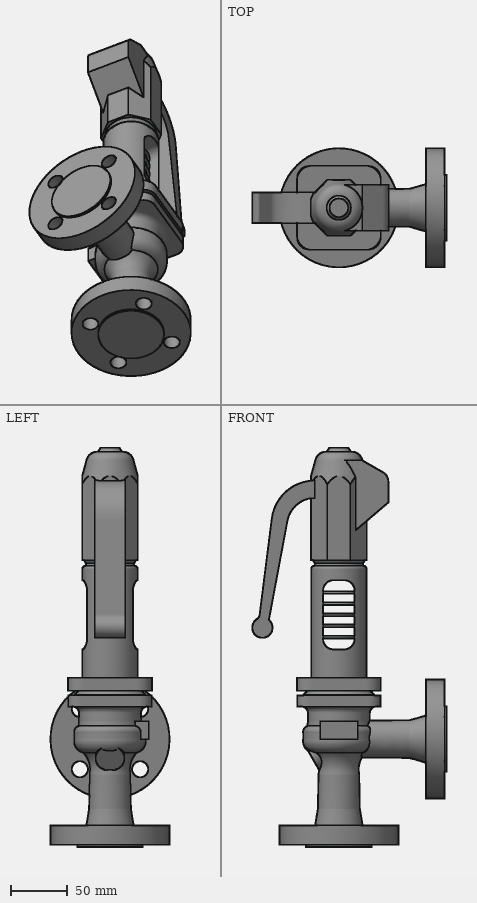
import cadquery as cq
import math


overall_height = 351.5
outlet_axis_z = 95.0
outlet_face_x = 95.0

flange_radius = 52.5
raised_face_radius = 29.0
raised_face_height = 2.0
inlet_flange_thickness = 17.0
outlet_flange_thickness = 16.5
bolt_circle_radius = 37.5
bolt_hole_diameter = 14.0
bolt_count = 4
first_bolt_angle = 45.0

inlet_hub_radius = 21.0
inlet_hub_top_z = 33.5
inlet_hub_top_radius = 18.6
inlet_pipe_radius = 18.0
inlet_pipe_top_z = 64.0
bowl_root_radius = 23.5
bowl_root_z = 83.0
bowl_radius = 31.5
bowl_bottom_z = 95.0
bowl_top_z = 100.3
shoulder_top_radius = 27.8
shoulder_top_z = 106.6
throat_radius = 27.4
throat_bottom_z = 110.3
throat_top_z = 118.2
throat_fillet_radius = 5.3

outlet_pipe_start_radius = 16.4
outlet_pipe_radius = 16.8
outlet_hub_start_x = 62.3
outlet_hub_radius = 20.9

lower_plate_width = 73.6
lower_plate_bottom_z = throat_top_z + throat_fillet_radius
lower_plate_top_z = 133.4
lower_plate_corner = 11.0
upper_plate_width = 74.0
upper_plate_bottom_z = 137.5
upper_plate_top_z = 149.1
upper_plate_corner = 13.3
collar_top_radius = 27.5
collar_bottom_radius = 31.2
collar_rim_height = 0.8

housing_radius = 24.5
housing_edge_radius = 3.0
housing_top_z = 247.5
groove_radius = 21.2
groove_z = 249.5
groove_upper_radius = 23.0
window_width = 27.5
window_bottom_z = 174.0
window_top_z = 234.7
window_corner = 9.0
spring_radius = 15.0
spring_wire_radius = 1.3
coil_pitch = 9.8
coil_count = 5

cap_sides = 8
cap_across_flats = 49.2
cap_bottom_z = 252.5
dome_base_z = 340.3
dome_base_radius = 20.8
cone_tangent_z = 326.5
dome_shoulder_radius = 17.0
dome_shoulder_z = 346.0
dome_top_radius = 10.7
dome_top_z = 348.0
knob_top_radius = 8.2

lug_width = 40.2
lug_top_end_x = 20.5
lug_outer_x = 43.7
lug_slope_end_z = 327.0
lug_side_bottom_z = 303.2
lug_tip_x = 13.5
lug_tip_z = 277.6
lug_corner = 10.0

lever_width = 27.0
lever_root_x = -15.0
lever_bend_x = -20.9
lever_top_z = 322.6
lever_underside_z = 307.1
lever_outer_radius = 38.5
lever_inner_radius = 24.7
lever_outer_lean = 7.2
lever_inner_lean = 10.6
lever_arc_middle_lean = 45.0
bead_radius = 9.0
lever_end_x = -76.27
bead_x = lever_end_x + bead_radius
bead_z = 193.0
bead_blend_radius = 6.0

pad_width = 33.0
pad_bottom_z = bowl_bottom_z
pad_top_z = 110.8
pad_face_y = -34.0
boss_radius = 12.7
boss_tilt = 30.0
boss_face_x = -23.3
boss_face_z = 78.0
boss_depth = 16.0


def box_between(x0, x1, y0, y1, z0, z1):
    """Box given by its limits along each axis."""
    return cq.Workplane("XY").box(x1 - x0, y1 - y0, z1 - z0, centered=False).translate((x0, y0, z0))


def extrude_along_y(profile, width):
    """Extrude a closed XZ profile symmetrically about the XZ plane."""
    return profile.extrude(width / 2, both=True)


def make_flange(thickness):
    """Drilled flange with its raised face at z = 0 and its back toward +Z."""
    face = cq.Workplane("XY").circle(raised_face_radius).extrude(raised_face_height)
    disc = cq.Workplane("XY").workplane(offset=raised_face_height).circle(flange_radius).extrude(thickness)
    holes = (
        cq.Workplane("XY")
        .polarArray(bolt_circle_radius, first_bolt_angle, 360, bolt_count)
        .circle(bolt_hole_diameter / 2)
        .extrude(raised_face_height + thickness)
    )
    return face.union(disc).cut(holes)


def make_body():
    """Inlet neck, bowl and throat as one turned shape."""
    hub_bottom_z = raised_face_height + inlet_flange_thickness
    diagonal = math.sqrt(0.5)
    throat_center_r = throat_radius + throat_fillet_radius
    throat_arc_r = throat_center_r - throat_fillet_radius * diagonal
    throat_arc_z = throat_top_z + throat_fillet_radius * diagonal
    bowl_arc_r = bowl_root_radius + (bowl_radius - bowl_root_radius) * diagonal
    bowl_arc_z = bowl_bottom_z - (bowl_bottom_z - bowl_root_z) * diagonal
    neck_arc_r = inlet_pipe_radius + (bowl_root_radius - inlet_pipe_radius) * (1 - diagonal)
    neck_arc_z = inlet_pipe_top_z + (bowl_root_z - inlet_pipe_top_z) * diagonal
    shoulder_r = shoulder_top_radius + (bowl_radius - shoulder_top_radius) * diagonal
    shoulder_z = bowl_top_z + (shoulder_top_z - bowl_top_z) * diagonal
    return (
        cq.Workplane("XZ")
        .moveTo(0, hub_bottom_z)
        .lineTo(inlet_hub_radius, hub_bottom_z)
        .lineTo(inlet_hub_top_radius, inlet_hub_top_z)
        .lineTo(inlet_pipe_radius, inlet_pipe_top_z)
        .threePointArc((neck_arc_r, neck_arc_z), (bowl_root_radius, bowl_root_z))
        .threePointArc((bowl_arc_r, bowl_arc_z), (bowl_radius, bowl_bottom_z))
        .lineTo(bowl_radius, bowl_top_z)
        .threePointArc((shoulder_r, shoulder_z), (shoulder_top_radius, shoulder_top_z))
        .lineTo(throat_radius, throat_bottom_z)
        .lineTo(throat_radius, throat_top_z)
        .threePointArc((throat_arc_r, throat_arc_z), (throat_center_r, lower_plate_bottom_z))
        .lineTo(0, lower_plate_bottom_z)
        .close()
        .revolve(360, (0, 0, 0), (0, 1, 0))
    )


def make_outlet():
    """Tapered outlet pipe, its hub and its flange, along +X."""
    hub_end_x = outlet_face_x - raised_face_height - outlet_flange_thickness
    pipe = (
        cq.Workplane("XY")
        .moveTo(0, 0)
        .lineTo(0, outlet_pipe_start_radius)
        .lineTo(outlet_hub_start_x, outlet_pipe_radius)
        .lineTo(hub_end_x, outlet_hub_radius)
        .lineTo(hub_end_x, 0)
        .close()
        .revolve(360, (0, 0, 0), (1, 0, 0))
    )
    flange = make_flange(outlet_flange_thickness).rotate((0, 0, 0), (0, 1, 0), -90)
    return pipe.union(flange.translate((outlet_face_x, 0, 0))).translate((0, 0, outlet_axis_z))


def make_plate(width, bottom_z, top_z, corner):
    """Square clamping plate with rounded corners."""
    plate = cq.Workplane("XY").workplane(offset=bottom_z).rect(width, width).extrude(top_z - bottom_z)
    return plate.edges("|Z").fillet(corner)


def make_collar():
    """Conical seat collar that spaces the two clamping plates."""
    rim_top_z = lower_plate_top_z + collar_rim_height
    return (
        cq.Workplane("XZ")
        .moveTo(0, lower_plate_top_z)
        .lineTo(collar_bottom_radius, lower_plate_top_z)
        .lineTo(collar_bottom_radius, rim_top_z)
        .lineTo(collar_top_radius, upper_plate_bottom_z)
        .lineTo(0, upper_plate_bottom_z)
        .close()
        .revolve(360, (0, 0, 0), (0, 1, 0))
    )


def make_housing():
    """Spring housing with a window through it and the spring coils inside."""
    housing = (
        cq.Workplane("XY")
        .workplane(offset=upper_plate_top_z)
        .circle(housing_radius)
        .extrude(housing_top_z - upper_plate_top_z)
        .faces(">Z")
        .edges()
        .fillet(housing_edge_radius)
    )
    groove = (
        cq.Workplane("XZ")
        .moveTo(0, housing_top_z)
        .lineTo(housing_radius - housing_edge_radius, housing_top_z)
        .lineTo(groove_radius, groove_z)
        .lineTo(groove_upper_radius, cap_bottom_z)
        .lineTo(0, cap_bottom_z)
        .close()
        .revolve(360, (0, 0, 0), (0, 1, 0))
    )
    half_window = window_width / 2
    window = box_between(
        -half_window, half_window, -housing_radius, housing_radius, window_bottom_z, window_top_z
    )
    window = window.edges("|Y").fillet(window_corner)
    housing = housing.union(groove).cut(window)
    window_middle_z = (window_bottom_z + window_top_z) / 2
    for index in range(coil_count):
        coil_z = window_middle_z + (index - (coil_count - 1) / 2) * coil_pitch
        coil = cq.Solid.makeTorus(spring_radius, spring_wire_radius, cq.Vector(0, 0, coil_z))
        housing = housing.union(cq.Workplane(obj=coil))
    return housing


def make_cap():
    """Octagonal cap under a turned cone, dome and knob."""
    cap = (
        cq.Workplane("XY")
        .workplane(offset=cap_bottom_z)
        .polygon(cap_sides, cap_across_flats / math.cos(math.pi / cap_sides))
        .extrude(overall_height - cap_bottom_z)
        .rotate((0, 0, 0), (0, 0, 1), 180 / cap_sides)
    )
    cone_slope = (cap_across_flats / 2 - dome_base_radius) / (dome_base_z - cone_tangent_z)
    cone_bottom_radius = dome_base_radius + cone_slope * (dome_base_z - cap_bottom_z)
    envelope = (
        cq.Workplane("XZ")
        .moveTo(0, cap_bottom_z)
        .lineTo(cone_bottom_radius, cap_bottom_z)
        .lineTo(dome_base_radius, dome_base_z)
        .threePointArc((dome_shoulder_radius, dome_shoulder_z), (dome_top_radius, dome_top_z))
        .lineTo(knob_top_radius, overall_height)
        .lineTo(0, overall_height)
        .close()
        .revolve(360, (0, 0, 0), (0, 1, 0))
    )
    return cap.intersect(envelope)


def make_lug():
    """Lever lug growing out of the cap toward +X."""
    profile = (
        cq.Workplane("XZ")
        .moveTo(0, dome_base_z)
        .lineTo(lug_top_end_x, dome_base_z)
        .lineTo(lug_outer_x, lug_slope_end_z)
        .lineTo(lug_outer_x, lug_side_bottom_z)
        .lineTo(lug_tip_x, lug_tip_z)
        .lineTo(0, lug_tip_z)
        .close()
    )
    corner = cq.selectors.NearestToPointSelector((lug_outer_x, 0, lug_slope_end_z))
    return extrude_along_y(profile, lug_width).edges("|Y").edges(corner).fillet(lug_corner)


def bend_point(radius, top_z, lean):
    """Point on the bend that peaks at top_z, where the tangent leans `lean` degrees from vertical."""
    angle = math.radians(lean)
    return (lever_bend_x - radius * math.cos(angle), top_z - radius * (1 - math.sin(angle)))


def lean_down(start, lean, z):
    """Point at height z on the leaning line that leaves `start` downward."""
    return (start[0] - (start[1] - z) * math.tan(math.radians(lean)), z)


def make_lever():
    """Bent lifting lever with a rounded bead at its free end."""
    outer_end = bend_point(lever_outer_radius, lever_top_z, lever_outer_lean)
    inner_end = bend_point(lever_inner_radius, lever_underside_z, lever_inner_lean)
    outer_middle = bend_point(lever_outer_radius, lever_top_z, lever_arc_middle_lean)
    inner_middle = bend_point(lever_inner_radius, lever_underside_z, lever_arc_middle_lean)
    profile = (
        cq.Workplane("XZ")
        .moveTo(lever_root_x, lever_top_z)
        .lineTo(lever_bend_x, lever_top_z)
        .threePointArc(outer_middle, outer_end)
        .lineTo(*lean_down(outer_end, lever_outer_lean, bead_z))
        .lineTo(*lean_down(inner_end, lever_inner_lean, bead_z))
        .lineTo(*inner_end)
        .threePointArc(inner_middle, (lever_bend_x, lever_underside_z))
        .lineTo(lever_root_x, lever_underside_z)
        .close()
    )
    bead = extrude_along_y(cq.Workplane("XZ").center(bead_x, bead_z).circle(bead_radius), lever_width)
    lever = extrude_along_y(profile, lever_width).union(bead)
    blend_z = bead_z + bead_radius
    outer_joint = cq.selectors.NearestToPointSelector((bead_x - bead_radius / 2, 0, blend_z))
    return lever.edges("|Y").edges(outer_joint).fillet(bead_blend_radius)


def make_pad():
    """Rectangular name pad on the -Y side of the bowl."""
    return box_between(-pad_width / 2, pad_width / 2, pad_face_y, 0, pad_bottom_z, pad_top_z)


def make_drain_boss():
    """Round boss that dips out of the bowl on the -X side."""
    tilt = math.radians(boss_tilt)
    inward = cq.Vector(math.cos(tilt), 0, math.sin(tilt))
    face_center = cq.Vector(boss_face_x, 0, boss_face_z)
    return cq.Workplane(obj=cq.Solid.makeCylinder(boss_radius, boss_depth, face_center, inward))


result = (
    make_flange(inlet_flange_thickness)
    .union(make_body())
    .union(make_outlet())
    .union(make_pad())
    .union(make_drain_boss())
    .union(make_plate(lower_plate_width, lower_plate_bottom_z, lower_plate_top_z, lower_plate_corner))
    .union(make_collar())
    .union(make_plate(upper_plate_width, upper_plate_bottom_z, upper_plate_top_z, upper_plate_corner))
    .union(make_housing())
    .union(make_cap())
    .union(make_lug())
    .union(make_lever())
)